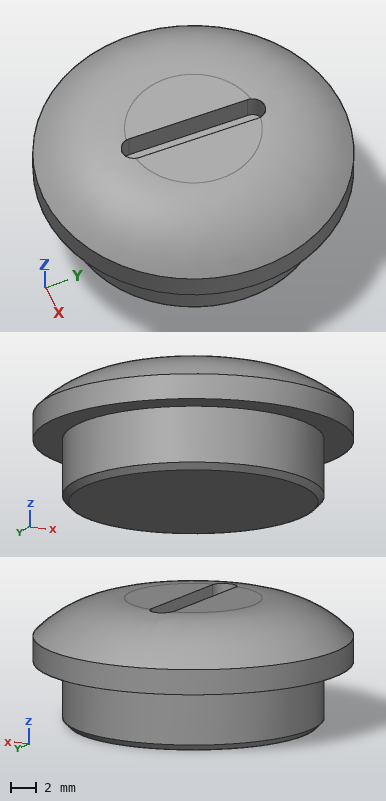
import cadquery as cq
import math

head_diameter = 25.0
total_height = 10.0
shank_diameter = 20.4
shank_height = 5.0
rim_height = 2.0
dome_radius = 10.0
bottom_chamfer = 0.5
slot_length = 12.0
slot_width = 2.0
slot_depth = 2.0

head_radius = head_diameter / 2
rim_top = shank_height + rim_height

arc_center_height = total_height - dome_radius
arc_center_radius = head_radius - math.sqrt(dome_radius**2 - (rim_top - arc_center_height)**2)
half_angle = math.acos((rim_top - arc_center_height) / dome_radius) / 2
arc_middle = (
    arc_center_radius + dome_radius * math.sin(half_angle),
    arc_center_height + dome_radius * math.cos(half_angle),
)


def make_shank():
    """Plain cylinder with a chamfered bottom edge."""
    shank = cq.Workplane("XY").circle(shank_diameter / 2).extrude(shank_height)
    return shank.faces("<Z").edges().chamfer(bottom_chamfer)


def make_head():
    """Straight rim topped by a rounded shoulder and a flat center."""
    return (
        cq.Workplane("XZ")
        .moveTo(0, shank_height)
        .lineTo(head_radius, shank_height)
        .lineTo(head_radius, rim_top)
        .threePointArc(arc_middle, (arc_center_radius, total_height))
        .lineTo(0, total_height)
        .close()
        .revolve(360, (0, 0, 0), (0, 1, 0))
    )


def make_slot():
    """Round-ended screwdriver slot along Y, cut down from the top."""
    return (
        cq.Workplane("XY")
        .workplane(offset=total_height - slot_depth)
        .slot2D(slot_length, slot_width, 90)
        .extrude(slot_depth)
    )


result = make_shank().union(make_head()).cut(make_slot())